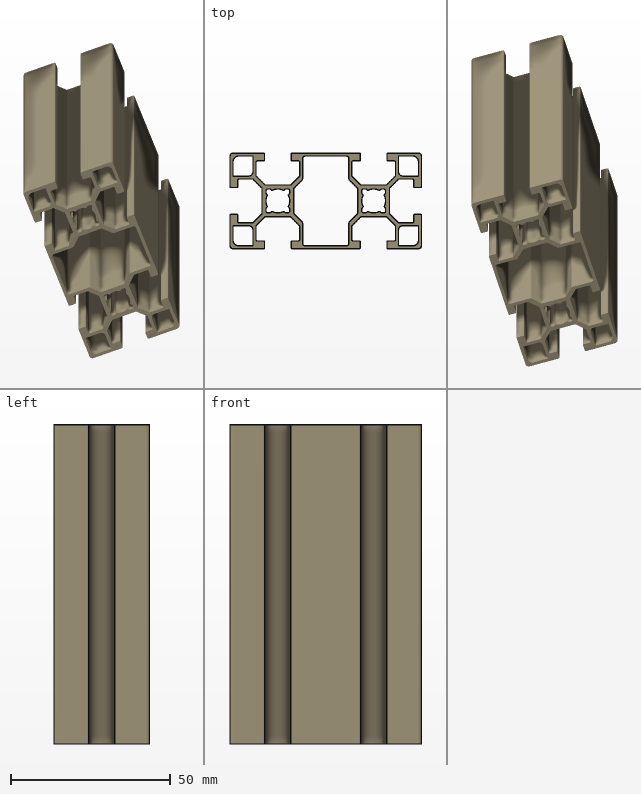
import cadquery as cq
import math

cell = 30.0
width = 2 * cell
length = 100.0
outer_radius = 1.0

slot_opening = 8.3
lip_depth = 2.5
lip_radius = 0.35
lip_root_radius = 0.3
slot_half_width = 6.8
slot_floor = 5.0
slot_floor_half_width = 4.0

wall = 1.0
corner_chamber_radius = 1.7
chamber_web_radius = 1.3
middle_chamber_radius = 0.7
middle_core_half_width = 3.9

bore_radius = 3.7
ridge_offset = 1.8
ridge_width = 0.6
pocket_radius = 0.5

half_cell = cell / 2
slot_slope = slot_half_width - slot_floor_half_width
core_centers = [(-half_cell, 0), (half_cell, 0)]


def slot_cutter(center_x, turn):
    """Full-length T-slot opening towards +Y before it is turned about the cell centre."""
    lip_x = slot_opening / 2
    lip_y = half_cell - lip_depth
    profile = [
        (-lip_x, half_cell),
        (-lip_x, lip_y),
        (-slot_half_width, lip_y),
        (-slot_half_width, slot_floor + slot_slope),
        (-slot_floor_half_width, slot_floor),
        (slot_floor_half_width, slot_floor),
        (slot_half_width, slot_floor + slot_slope),
        (slot_half_width, lip_y),
        (lip_x, lip_y),
        (lip_x, half_cell),
    ]
    cutter = cq.Workplane("XY").polyline(profile).close().extrude(length)
    for root_x in (-slot_half_width, slot_half_width):
        root = cq.selectors.NearestToPointSelector((root_x, lip_y, length / 2))
        cutter = cutter.edges("|Z").edges(root).fillet(lip_root_radius)
    return cutter.rotate((0, 0, 0), (0, 0, 1), turn).translate((center_x, 0, 0))


def is_lip_edge(edge, lip_places):
    """True for a long edge that lies on one of the given slot lip corners."""
    spot = edge.Center()
    return any(math.hypot(spot.x - x, spot.y - y) < lip_radius for x, y in lip_places)


def corner_chamber(side_x, side_y):
    """Square hollow in one outer corner, rounded at its outermost and innermost corners."""
    size = half_cell - slot_half_width - 2 * wall
    middle = half_cell - wall - size / 2
    center = (side_x * (half_cell + middle), side_y * middle)
    chamber = cq.Workplane("XY").center(*center).rect(size, size).extrude(length)
    outermost = cq.selectors.NearestToPointSelector((side_x * width, side_y * width, length / 2))
    innermost = cq.selectors.NearestToPointSelector((0, 0, length / 2))
    chamber = chamber.edges("|Z").edges(outermost).fillet(corner_chamber_radius)
    return chamber.edges("|Z").edges(innermost).fillet(chamber_web_radius)


def middle_chamber():
    """Large hollow between the two cores, narrowing along the slanted webs of the slots."""
    core_x = half_cell - slot_floor
    core_y = middle_core_half_width
    wall_x = half_cell - slot_half_width - wall
    wall_y = core_y + core_x - wall_x
    top_y = half_cell - wall
    quarter = [(core_x, core_y), (wall_x, wall_y), (wall_x, top_y)]
    right = [(x, -y) for x, y in reversed(quarter)] + quarter
    left = [(-x, -y) for x, y in right]
    chamber = cq.Workplane("XY").polyline(right + left).close().extrude(length)
    return chamber.edges("|Z").fillet(middle_chamber_radius)


def screw_channel(center):
    """Round bore with a squared pocket in each corner, leaving pairs of small ridges on every side."""
    ridge_y = math.sqrt(bore_radius**2 - ridge_offset**2)
    pocket_profile = [
        (0, 0),
        (ridge_offset, ridge_y),
        (ridge_offset + ridge_width, bore_radius),
        (bore_radius, bore_radius),
        (bore_radius, ridge_offset + ridge_width),
        (ridge_y, ridge_offset),
    ]
    channel = cq.Workplane("XY").circle(bore_radius).extrude(length)
    pocket = cq.Workplane("XY").polyline(pocket_profile).close().extrude(length)
    corner = cq.selectors.NearestToPointSelector((bore_radius, bore_radius, length / 2))
    pocket = pocket.edges("|Z").edges(corner).fillet(pocket_radius)
    for turn in (0, 90, 180, 270):
        channel = channel.union(pocket.rotate((0, 0, 0), (0, 0, 1), turn))
    return channel.translate((*center, 0))


result = cq.Workplane("XY").rect(width, cell).extrude(length).edges("|Z").fillet(outer_radius)

for center_x, turn in [
    (-half_cell, 0),
    (-half_cell, 90),
    (-half_cell, 180),
    (half_cell, 0),
    (half_cell, 180),
    (half_cell, 270),
]:
    result = result.cut(slot_cutter(center_x, turn))

lip_places = []
for across in (-slot_opening / 2, slot_opening / 2):
    for depth in (0, lip_depth):
        for side in (-1, 1):
            lip_places.append((side * (width / 2 - depth), across))
            for center_x, _ in core_centers:
                lip_places.append((center_x + across, side * (half_cell - depth)))
result = result.edges("|Z").filter(lambda edge: is_lip_edge(edge, lip_places)).fillet(lip_radius)

for side_x in (-1, 1):
    for side_y in (-1, 1):
        result = result.cut(corner_chamber(side_x, side_y))
result = result.cut(middle_chamber())
for center in core_centers:
    result = result.cut(screw_channel(center))